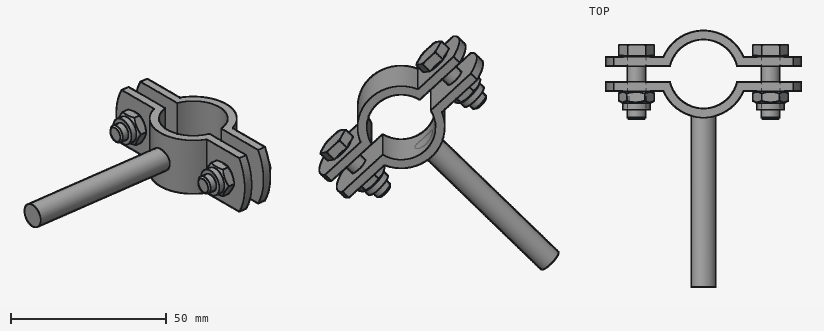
import cadquery as cq
import math

HEIGHT = 20.0
LENGTH = 63.0
THICKNESS = 3.0
RING_OUTER_RADIUS = 14.0
RING_INNER_RADIUS = RING_OUTER_RADIUS - THICKNESS
EAR_GAP = 5.0
EAR_INNER_Y = EAR_GAP / 2
EAR_OUTER_Y = EAR_INNER_Y + THICKNESS
EAR_END_RADIUS = HEIGHT

OVERALL_DEPTH = 82.5
ROD_DIAMETER = 8.0
ROD_END_Y = RING_OUTER_RADIUS - OVERALL_DEPTH

BOLT_X = 21.5
BOLT_DIAMETER = 6.0
BOLT_END_Y = -14.5
BOLT_TIP_CHAMFER = 0.6
HEX_FLATS = 10.0
HEX_CORNERS = HEX_FLATS / math.cos(math.radians(30))
HEAD_HEIGHT = 4.0
HEAD_FACE_HEIGHT = 0.4
HEAD_FACE_DIAMETER = 8.7
HEAD_CROWN_DIAMETER = 10.7
HEAD_TILT = -1.0

NUT_HEIGHT = 6.0
NUT_HEX_HEIGHT = 3.9
NUT_COLLAR_DIAMETER = 8.9
NUT_CROWN_DIAMETER = NUT_COLLAR_DIAMETER
LEFT_NUT_TILT = 3.5
RIGHT_NUT_TILT = 0.0

CROWN_ANGLE = 30


def cylinder(diameter, low_y, high_y):
    """Cylinder on the Y axis between two Y positions."""
    return cq.Workplane("XZ", origin=(0, high_y, 0)).circle(diameter / 2).extrude(high_y - low_y)


def hexagon(low_y, high_y, tilt):
    """Hexagonal prism on the Y axis with a corner toward X, turned by the tilt."""
    prism = cq.Workplane("XZ", origin=(0, high_y, 0)).polygon(6, HEX_CORNERS).extrude(high_y - low_y)
    return prism.rotate((0, 0, 0), (0, -1, 0), tilt)


def crown_envelope(crown_diameter, end_y, inward):
    """Cone envelope that turns down hexagon corners at end_y; inward is +1 or -1 along Y."""
    crown_radius = crown_diameter / 2
    wide_radius = HEX_CORNERS
    cone_depth = (wide_radius - crown_radius) * math.tan(math.radians(CROWN_ANGLE))
    cone_y = end_y + inward * cone_depth
    far_y = end_y + inward * 2 * HEX_CORNERS
    profile = [(0, end_y), (crown_radius, end_y), (wide_radius, cone_y), (wide_radius, far_y), (0, far_y)]
    return cq.Workplane("XY").polyline(profile).close().revolve(360, (0, 0, 0), (0, 1, 0))


def ring_disc(radius):
    """Full-height disc on the ring axis."""
    return cq.Workplane("XY").circle(radius).extrude(HEIGHT / 2, both=True)


def make_clamp_half():
    """Half clamp on the +Y side, with a bolt hole in each ear."""
    ring = ring_disc(RING_OUTER_RADIUS)
    ears = cq.Workplane("XY").box(LENGTH, 2 * EAR_OUTER_Y, HEIGHT)
    rear_block = cq.Workplane("XY").box(LENGTH, RING_OUTER_RADIUS, HEIGHT, centered=(True, False, True))
    half = ring.union(ears).cut(ring_disc(RING_INNER_RADIUS))
    half = half.intersect(rear_block.translate((0, EAR_INNER_Y, 0)))
    half = half.intersect(make_ear_outline())
    for x in (-BOLT_X, BOLT_X):
        half = half.cut(cylinder(BOLT_DIAMETER, 0, RING_OUTER_RADIUS).translate((x, 0, 0)))
    return half


def make_ear_outline():
    """Strap outline in XZ with an arc at each end."""
    tip_x = LENGTH / 2
    top_z = HEIGHT / 2
    arc_rise = EAR_END_RADIUS - math.sqrt(EAR_END_RADIUS**2 - top_z**2)
    corner_x = tip_x - arc_rise
    return (
        cq.Workplane("XZ")
        .moveTo(-corner_x, top_z)
        .lineTo(corner_x, top_z)
        .threePointArc((tip_x, 0), (corner_x, -top_z))
        .lineTo(-corner_x, -top_z)
        .threePointArc((-tip_x, 0), (-corner_x, top_z))
        .close()
        .extrude(RING_OUTER_RADIUS, both=True)
    )


def make_front_clamp():
    """Clamp half on the -Y side with its rod."""
    rod = cylinder(ROD_DIAMETER, ROD_END_Y, 0)
    return make_clamp_half().mirror("XZ").union(rod.cut(ring_disc(RING_INNER_RADIUS)))


def make_bolt(x):
    """Hexagon head bolt with a washer face, seated on the rear ear."""
    face_y = EAR_OUTER_Y + HEAD_FACE_HEIGHT
    head_top_y = EAR_OUTER_Y + HEAD_HEIGHT
    head = hexagon(face_y, head_top_y, HEAD_TILT)
    head = head.intersect(crown_envelope(HEAD_CROWN_DIAMETER, head_top_y, -1))
    washer_face = cylinder(HEAD_FACE_DIAMETER, EAR_OUTER_Y, face_y)
    shank = cylinder(BOLT_DIAMETER, BOLT_END_Y, EAR_OUTER_Y).faces("<Y").chamfer(BOLT_TIP_CHAMFER)
    return head.union(washer_face).union(shank).translate((x, 0, 0))


def make_nut(x, tilt):
    """Lock nut seated on the front ear, its collar pointing to -Y."""
    seat_y = -EAR_OUTER_Y
    hex_end_y = seat_y - NUT_HEX_HEIGHT
    collar_end_y = seat_y - NUT_HEIGHT
    nut = hexagon(hex_end_y, seat_y, tilt)
    nut = nut.intersect(crown_envelope(NUT_CROWN_DIAMETER, seat_y, -1))
    nut = nut.intersect(crown_envelope(NUT_CROWN_DIAMETER, hex_end_y, 1))
    nut = nut.union(cylinder(NUT_COLLAR_DIAMETER, collar_end_y, hex_end_y))
    return nut.cut(cylinder(BOLT_DIAMETER, collar_end_y, seat_y)).translate((x, 0, 0))


rear_clamp = make_clamp_half()
front_clamp = make_front_clamp()
bolts = [make_bolt(x) for x in (-BOLT_X, BOLT_X)]
nuts = [make_nut(x, tilt) for x, tilt in ((-BOLT_X, LEFT_NUT_TILT), (BOLT_X, RIGHT_NUT_TILT))]

result = cq.Compound.makeCompound(
    [rear_clamp.val(), front_clamp.val()] + [body.val() for body in bolts + nuts]
)